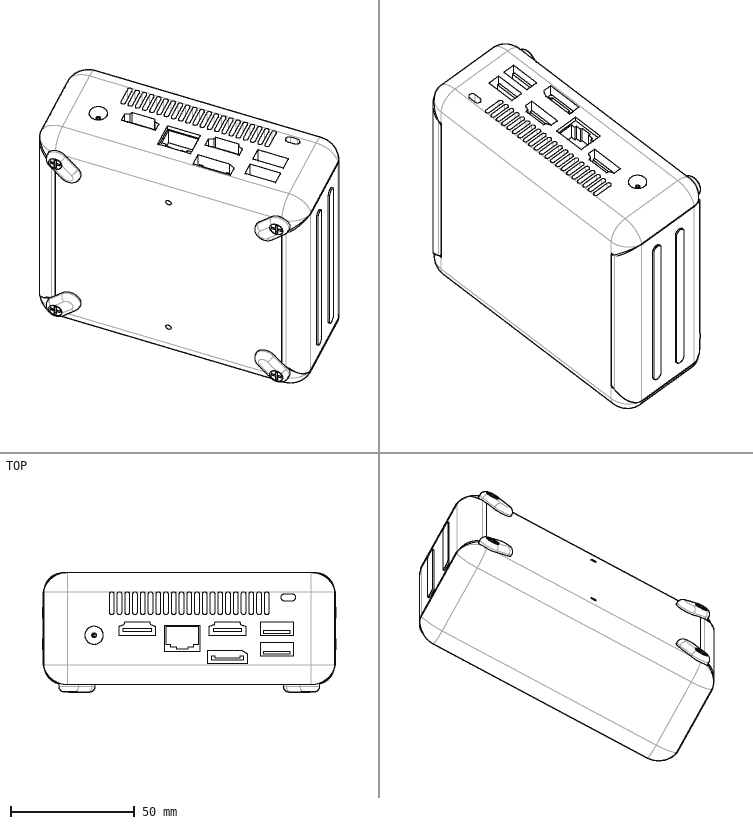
import cadquery as cq
import math

total_width = 118.9
body_depth = 45.4
body_height = 110.5
edge_inset = 7.8
end_radius = 10.0
end_setback = 0.4

rib_height = 0.65
panel_end = total_width / 2 - rib_height
panel_step = 0.1
panel_radius = 7.7
recess_radius = 8.3

rib_width = 4.2
rib_length = 80.0
rib_spacing = 12.8
rib_root = 1.2

foot_radius = 4.6
foot_height = 3.1
foot_rounding = 2.4
foot_root = 3.6
foot_screw_x = 48.2
foot_screw_z = 44.2
foot_diagonal_step = 5.5
screw_radius = 2.9
screw_recess = 0.2
cross_length = 4.3
cross_width = 1.0
cross_depth = 0.7

plate_hole_radius = 1.2
plate_hole_z = 37.6
plate_hole_depth = 2.4

port_depth = 9.5
tongue_setback = 3.0

vent_count = 21
vent_span = 62.8
vent_width = 1.9
vent_length = 9.2
vent_y = 10.2

lock_x, lock_y = 40.1, 12.6
lock_length, lock_width = 6.0, 2.9

jack_x, jack_y = -38.5, -2.7
jack_radius = 3.7
jack_pin_radius = 1.0
jack_pin_bore_radius = 0.5

hdmi_positions = [-21.0, 15.5]
hdmi_width = 14.9
hdmi_top_width = 10.1
hdmi_neck_width = 10.7
hdmi_bottom, hdmi_shoulder, hdmi_neck, hdmi_top = -2.7, 0.8, 1.5, 2.7
hdmi_tongue_width, hdmi_tongue_height = 11.4, 1.1
hdmi_tongue_y = -0.6

usb_x = 35.4
usb_positions = [0.0, -8.5]
usb_width, usb_height = 13.3, 5.5
usb_tongue_width, usb_tongue_height = 10.8, 1.1
usb_tongue_drop = 1.4

lan_x = -2.9
lan_top, lan_bottom = 1.3, -9.4
lan_width = 14.3
lan_ledge_depth = 2.0
lan_inner_top = 0.8
lan_steps = [(13.1, -6.5), (9.3, -7.5), (4.5, -8.3)]

dp_x = 15.5
dp_top, dp_bottom = -8.8, -14.1
dp_width = 16.3
dp_cut_x, dp_cut_y = 2.5, 1.4
dp_tongue_width, dp_tongue_top, dp_tongue_bottom = 13.0, -11.0, -12.8
dp_slot_width, dp_slot_floor = 10.2, -11.9

half_depth = body_depth / 2
top_z = body_height / 2
core_y = half_depth - edge_inset
core_z = top_z - edge_inset
end_reach = math.sqrt(end_radius**2 - (end_radius - edge_inset)**2)
straight_x = total_width / 2 - end_setback - end_reach
body_end = straight_x + end_reach
arc_mid_angle = (math.pi / 2 + math.asin((end_radius - edge_inset) / end_radius)) / 2
arc_mid_x = straight_x + end_radius * math.cos(arc_mid_angle)
arc_mid_inset = end_radius * (1 - math.sin(arc_mid_angle))
tongue_length = port_depth - tongue_setback


def edge_profile(y):
    """Section of one long edge of the body, standing on the line at height y."""
    return (
        cq.Workplane("XY", origin=(0, y, 0))
        .moveTo(-body_end, 0)
        .threePointArc((-arc_mid_x, edge_inset - arc_mid_inset), (-straight_x, edge_inset))
        .lineTo(straight_x, edge_inset)
        .threePointArc((arc_mid_x, edge_inset - arc_mid_inset), (body_end, 0))
        .close()
    )


def make_body():
    """Core box, a rounded slab on each long side and a quarter-round in each long edge."""
    body = cq.Workplane("XY").box(2 * body_end, 2 * core_y, 2 * core_z)
    slab_y = edge_profile(core_y).extrude(core_z, both=True)
    slab_z = edge_profile(core_z).extrude(core_y, both=True)
    quarter = edge_profile(0).revolve(90, (0, 0, 0), (1, 0, 0)).translate((0, core_y, core_z))
    for turn in (0, 180):
        body = body.union(slab_y.rotate((0, 0, 0), (1, 0, 0), turn))
        body = body.union(slab_z.rotate((0, 0, 0), (1, 0, 0), turn + 90))
    for edge in (quarter, quarter.mirror("XZ")):
        body = body.union(edge).union(edge.mirror("XY"))
    return body


def side_block(reach):
    """Block with rounded corners in YZ, from the panel seam out to x = reach."""
    return (
        cq.Workplane("YZ", origin=(straight_x, 0, 0))
        .rect(body_depth, 2 * core_z)
        .extrude(reach - straight_x)
        .edges("|X")
        .fillet(recess_radius)
    )


def side_panel():
    """Panel on the +X end, with its two ribs."""
    panel_depth = body_depth - 2 * panel_step
    profile = (
        cq.Workplane("XY")
        .rect(2 * panel_end, panel_depth)
        .extrude(core_z, both=True)
        .edges("|Z")
        .fillet(panel_radius)
    )
    panel = side_block(panel_end).intersect(profile)
    ribs = (
        cq.Workplane("YZ", origin=(panel_end - rib_root, 0, 0))
        .pushPoints([(-rib_spacing / 2, 0), (rib_spacing / 2, 0)])
        .slot2D(rib_length, rib_width, 90)
        .extrude(rib_height + rib_root)
    )
    return panel.union(ribs)


def fit_side_panels(body):
    recess = side_block(total_width / 2)
    panel = side_panel()
    for turn in (0, 180):
        axis = ((0, 0, 0), (0, 0, 1), turn)
        body = body.cut(recess.rotate(*axis)).union(panel.rotate(*axis))
    return body


def foot():
    """Foot for the (+X, +Z) corner, with a cross-head screw in its outer end."""
    foot_face = -half_depth - foot_height
    middle_x = foot_screw_x - foot_diagonal_step / 2
    middle_z = foot_screw_z - foot_diagonal_step / 2
    length = foot_diagonal_step * math.sqrt(2) + 2 * foot_radius
    pad = (
        cq.Workplane("XZ", origin=(middle_x, foot_face, middle_z))
        .slot2D(length, foot_radius * 2, 45)
        .extrude(-foot_height - foot_root)
        .faces("<Y")
        .edges()
        .fillet(foot_rounding)
    )
    seat = cq.Workplane("XZ", origin=(foot_screw_x, foot_face, foot_screw_z))
    pad = pad.cut(seat.circle(screw_radius).extrude(-screw_recess))
    cross_bottom = -screw_recess - cross_depth
    pad = pad.cut(seat.rect(cross_length, cross_width).extrude(cross_bottom))
    return pad.cut(seat.rect(cross_width, cross_length).extrude(cross_bottom))


def add_feet(body):
    right_top = foot()
    left_top = right_top.mirror("YZ")
    for top_foot in (right_top, left_top):
        body = body.union(top_foot).union(top_foot.mirror("XY"))
    return body


def cut_plate_holes(body):
    holes = (
        cq.Workplane("XZ", origin=(0, -half_depth, 0))
        .pushPoints([(0, -plate_hole_z), (0, plate_hole_z)])
        .circle(plate_hole_radius)
        .extrude(-plate_hole_depth)
    )
    return body.cut(holes)


def top_plane(x=0, y=0, setback=0):
    return cq.Workplane("XY", origin=(x, y, top_z - setback))


def tongue_plane(x, y):
    return top_plane(x, y, port_depth)


def cut_vents(body):
    pitch = vent_span / (vent_count - 1)
    places = [(i * pitch - vent_span / 2, vent_y) for i in range(vent_count)]
    vents = top_plane().pushPoints(places).slot2D(vent_length, vent_width, 90).extrude(-port_depth)
    return body.cut(vents)


def cut_lock_slot(body):
    return body.cut(top_plane(lock_x, lock_y).slot2D(lock_length, lock_width).extrude(-port_depth))


def cut_power_jack(body):
    bore = top_plane(jack_x, jack_y).circle(jack_radius).extrude(-port_depth)
    pin = (
        tongue_plane(jack_x, jack_y)
        .circle(jack_pin_radius)
        .circle(jack_pin_bore_radius)
        .extrude(tongue_length)
    )
    return body.cut(bore.cut(pin))


def cut_hdmi(body, x):
    half = hdmi_width / 2
    half_neck = hdmi_neck_width / 2
    half_top = hdmi_top_width / 2
    outline = [
        (-half, hdmi_bottom),
        (half, hdmi_bottom),
        (half, hdmi_shoulder),
        (half_neck, hdmi_neck),
        (half_top, hdmi_top),
        (-half_top, hdmi_top),
        (-half_neck, hdmi_neck),
        (-half, hdmi_shoulder),
    ]
    port = top_plane(x).polyline(outline).close().extrude(-port_depth)
    tongue = tongue_plane(x, hdmi_tongue_y).rect(hdmi_tongue_width, hdmi_tongue_height)
    return body.cut(port.cut(tongue.extrude(tongue_length)))


def cut_usb(body, y):
    port = top_plane(usb_x, y).rect(usb_width, usb_height).extrude(-port_depth)
    tongue = tongue_plane(usb_x, y - usb_tongue_drop).rect(usb_tongue_width, usb_tongue_height)
    return body.cut(port.cut(tongue.extrude(tongue_length)))


def cut_lan(body):
    middle_y = (lan_top + lan_bottom) / 2
    opening = top_plane(lan_x, middle_y).rect(lan_width, lan_top - lan_bottom)
    body = body.cut(opening.extrude(-lan_ledge_depth))
    for width, bottom in lan_steps:
        step = top_plane(lan_x, (lan_inner_top + bottom) / 2).rect(width, lan_inner_top - bottom)
        body = body.cut(step.extrude(-port_depth))
    return body


def cut_displayport(body):
    half = dp_width / 2
    outline = [
        (-half, dp_bottom),
        (half, dp_bottom),
        (half, dp_top - dp_cut_y),
        (half - dp_cut_x, dp_top),
        (-half, dp_top),
    ]
    port = top_plane(dp_x).polyline(outline).close().extrude(-port_depth)
    half_tongue = dp_tongue_width / 2
    half_slot = dp_slot_width / 2
    tongue_outline = [
        (-half_tongue, dp_tongue_bottom),
        (half_tongue, dp_tongue_bottom),
        (half_tongue, dp_tongue_top),
        (half_slot, dp_tongue_top),
        (half_slot, dp_slot_floor),
        (-half_slot, dp_slot_floor),
        (-half_slot, dp_tongue_top),
        (-half_tongue, dp_tongue_top),
    ]
    tongue = tongue_plane(dp_x, 0).polyline(tongue_outline).close().extrude(tongue_length)
    return body.cut(port.cut(tongue))


part = make_body()
part = fit_side_panels(part)
part = add_feet(part)
part = cut_plate_holes(part)
part = cut_vents(part)
part = cut_lock_slot(part)
part = cut_power_jack(part)
for hdmi_x in hdmi_positions:
    part = cut_hdmi(part, hdmi_x)
for usb_y in usb_positions:
    part = cut_usb(part, usb_y)
part = cut_lan(part)
part = cut_displayport(part)
result = part